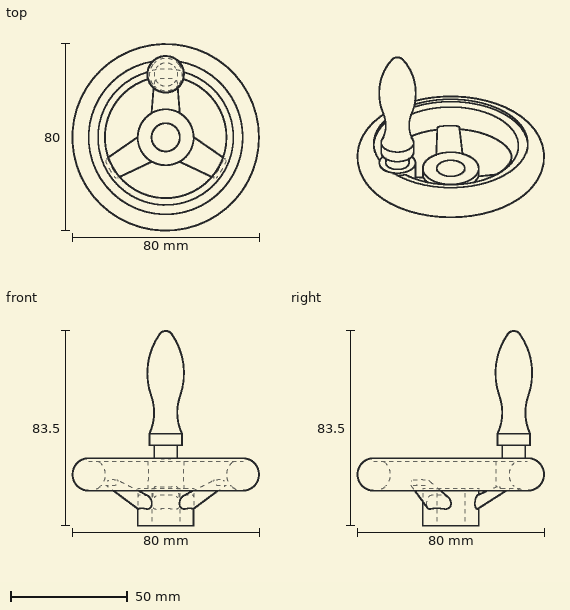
import cadquery as cq
import math

rim_outer_radius = 40.0
rim_tube_radius = 7.0
rim_centre_radius = rim_outer_radius - rim_tube_radius
rim_bottom = 15.0
rim_mid = rim_bottom + rim_tube_radius
rim_top = rim_mid + rim_tube_radius
recess_inner_radius = 29.0

hub_radius = 12.0
hub_height = 16.0
bore_radius = 6.0

spoke_angles = (90.0, 210.0, 330.0)
spoke_flat_width = 6.8
spoke_start = (8.0, 8.4)
spoke_end = (30.0, 20.3)
spoke_start_thickness = 5.8
spoke_end_thickness = 2.2

handle_y = 27.0
boss_radius = 7.75
boss_bottom = hub_height

pin_radius = 5.0
collar_radius = 7.0
collar_bottom = 34.5
collar_height = 5.0
collar_top = collar_bottom + collar_height
neck_radius = pin_radius
collar_to_neck = 9.0
neck_z = collar_top + collar_to_neck
neck_to_grip = 7.1
grip_start_z = neck_z + neck_to_grip
tip_edge_radius = 2.5
tip_edge_z = 82.3
tip_z = 83.49


def make_rim():
    """Full torus with a flat-floored recess cut into the inner half of its top."""
    tube = (
        cq.Workplane("XZ")
        .center(rim_centre_radius, rim_mid)
        .circle(rim_tube_radius)
        .revolve(360, (-rim_centre_radius, 0), (-rim_centre_radius, 1))
    )
    recess_offset = rim_centre_radius - recess_inner_radius
    recess_floor = rim_mid + math.sqrt(rim_tube_radius**2 - recess_offset**2)
    recess = (
        cq.Workplane("XY", origin=(0, 0, recess_floor))
        .circle(rim_centre_radius)
        .extrude(rim_top - recess_floor)
    )
    return tube.cut(recess)


def make_spoke(angle):
    """Bar lofted between two slot-shaped sections square to its sloping centre line."""
    run = spoke_end[0] - spoke_start[0]
    rise = spoke_end[1] - spoke_start[1]
    section_plane = cq.Plane(
        origin=(spoke_start[0], 0, spoke_start[1]),
        xDir=(0, 1, 0),
        normal=(run, 0, rise),
    )
    spoke = (
        cq.Workplane(section_plane)
        .slot2D(spoke_flat_width + spoke_start_thickness, spoke_start_thickness)
        .workplane(offset=math.hypot(run, rise))
        .slot2D(spoke_flat_width + spoke_end_thickness, spoke_end_thickness)
        .loft(ruled=True)
    )
    return spoke.rotate((0, 0, 0), (0, 0, 1), angle)


def make_boss():
    """Cylinder level with the top of the rim, under the handle."""
    return (
        cq.Workplane("XY", origin=(0, handle_y, boss_bottom))
        .circle(boss_radius)
        .extrude(rim_top - boss_bottom)
    )


def make_handle():
    """Pin, collar, concave neck, bulging grip and domed tip in one revolved profile."""
    neck_depth = collar_radius - neck_radius
    neck_curve_radius = ((neck_z - collar_top)**2 + neck_depth**2) / (2 * neck_depth)

    def neck_radius_at(z):
        return neck_radius + neck_curve_radius - math.sqrt(neck_curve_radius**2 - (z - neck_z)**2)

    lower_mid_z = (collar_top + neck_z) / 2
    upper_mid_z = (neck_z + grip_start_z) / 2

    tip_height = tip_z - tip_edge_z
    tip_sphere_radius = (tip_edge_radius**2 + tip_height**2) / (2 * tip_height)
    dome_mid_radius = tip_edge_radius / 2
    dome_mid_z = tip_z - tip_sphere_radius + math.sqrt(tip_sphere_radius**2 - dome_mid_radius**2)

    profile = (
        cq.Workplane("XZ", origin=(0, handle_y, 0))
        .moveTo(0, boss_bottom)
        .lineTo(pin_radius, boss_bottom)
        .lineTo(pin_radius, collar_bottom)
        .lineTo(collar_radius, collar_bottom)
        .lineTo(collar_radius, collar_top)
        .threePointArc((neck_radius_at(lower_mid_z), lower_mid_z), (neck_radius, neck_z))
        .threePointArc(
            (neck_radius_at(upper_mid_z), upper_mid_z),
            (neck_radius_at(grip_start_z), grip_start_z),
        )
        .tangentArcPoint((tip_edge_radius, tip_edge_z), relative=False)
        .threePointArc((dome_mid_radius, dome_mid_z), (0, tip_z))
        .close()
    )
    return profile.revolve(360, (0, 0), (0, 1))


hub = cq.Workplane("XY").circle(hub_radius).extrude(hub_height)
bore = cq.Workplane("XY").circle(bore_radius).extrude(hub_height)

wheel = make_rim().union(hub)
for spoke_angle in spoke_angles:
    wheel = wheel.union(make_spoke(spoke_angle))

result = wheel.union(make_boss()).union(make_handle()).cut(bore)